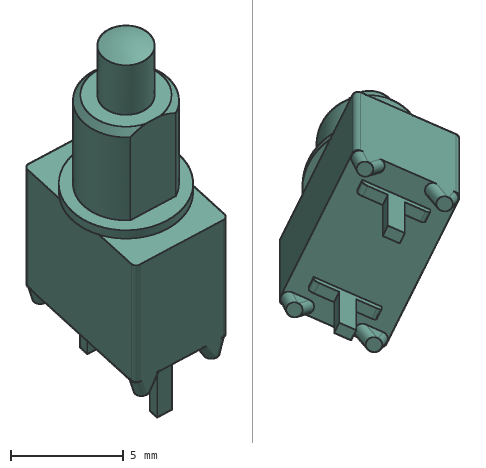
import cadquery as cq

foot_bottom = 3.27
pin_shoulder = 3.85
body_bottom = 4.32
body_top = 11.6
flange_top = 12.13
bushing_top = 17.62
button_rim = 20.7
button_top = 20.98

body_length = 8.15
body_width = 5.25
body_corner_radius = 0.27

flange_diameter = 6.0
bushing_radius = 2.37
bushing_chamfer = 0.34
bushing_flat_x = 2.0
button_radius = 1.28

foot_thickness = 0.71
foot_top_inner_y = 1.03
foot_top_outer_y = 2.6
foot_tip_inner_y = 1.6
foot_tip_outer_y = 2.33

pin_x = 2.55
pin_thickness = 0.55
pin_width = 0.84
shoulder_width = 3.35
shoulder_radius = 0.25


def cylinder(radius, bottom, top):
    return cq.Workplane("XY").workplane(offset=bottom).circle(radius).extrude(top - bottom)


def box(length, width, bottom, top):
    return cq.Workplane("XY").workplane(offset=bottom).rect(length, width).extrude(top - bottom)


def make_body():
    body = box(body_length, body_width, body_bottom, body_top)
    return body.edges("|Z").fillet(body_corner_radius)


def make_bushing():
    """Chamfered round bushing with one flat on its +X side."""
    bushing = cylinder(bushing_radius, flange_top, bushing_top)
    bushing = bushing.faces(">Z").edges().chamfer(bushing_chamfer)
    cutter = box(bushing_radius, 2 * bushing_radius, flange_top, bushing_top)
    return bushing.cut(cutter.translate((bushing_flat_x + bushing_radius / 2, 0, 0)))


def make_button():
    """Round button with a spherical dome on top."""
    dome_height = button_top - button_rim
    dome_radius = (button_radius**2 + dome_height**2) / (2 * dome_height)
    dome_center = button_top - dome_radius
    dome = cq.Workplane("XY").sphere(dome_radius).translate((0, 0, dome_center))
    return cylinder(button_radius, bushing_top, button_top).intersect(dome)


def make_foot():
    """Foot at the +X, +Y corner, tapering from a long slot shape to a nearly round tip."""
    top_length = foot_top_outer_y - foot_top_inner_y
    tip_length = foot_tip_outer_y - foot_tip_inner_y
    top_y = (foot_top_outer_y + foot_top_inner_y) / 2
    tip_y = (foot_tip_outer_y + foot_tip_inner_y) / 2
    return (
        cq.Workplane("XY", origin=((body_length - foot_thickness) / 2, 0, foot_bottom))
        .center(0, tip_y)
        .slot2D(tip_length, foot_thickness, angle=90)
        .workplane(offset=body_bottom - foot_bottom)
        .center(0, top_y - tip_y)
        .slot2D(top_length, foot_thickness, angle=90)
        .loft(ruled=True)
    )


def make_pin():
    """T-shaped terminal whose wide shoulder has rounded lower corners."""
    shoulder = box(pin_thickness, shoulder_width, pin_shoulder, body_bottom)
    shoulder = shoulder.faces("<Z").edges("|X").fillet(shoulder_radius)
    return shoulder.union(box(pin_thickness, pin_width, 0, body_bottom))


result = make_body()
result = result.union(cylinder(flange_diameter / 2, body_top, flange_top))
result = result.union(make_bushing())
result = result.union(make_button())

for x in (-pin_x, pin_x):
    result = result.union(make_pin().translate((x, 0, 0)))

right_feet = make_foot().union(make_foot().mirror("XZ"))
result = result.union(right_feet).union(right_feet.mirror("YZ"))